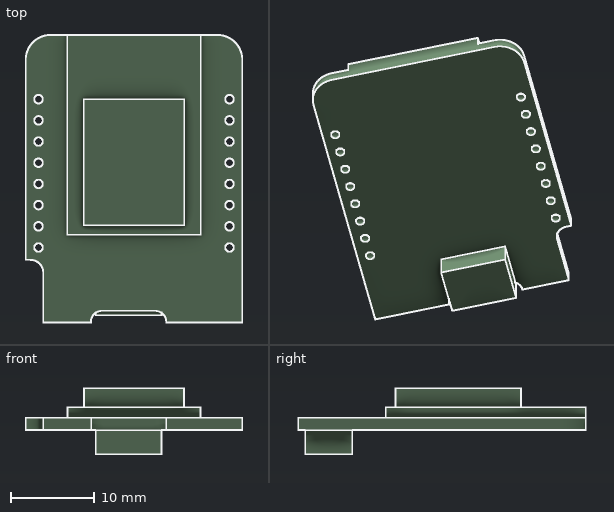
import cadquery as cq

board_width = 26.0
board_length = 34.5
board_thickness = 1.5
rear_corner_radius = 3.0

step_width = 2.1
step_length = 7.5
step_radius = 1.5

connector_center_x = -0.65
cutout_width = 9.0
cutout_depth = 1.4
cutout_radius = 1.3
connector_width = 7.9
connector_length = 5.65
connector_height = 2.9
connector_setback = 0.85

hole_diameter = 1.0
hole_pitch = 2.54
holes_per_row = 8
hole_edge_distance = 1.55
first_hole_from_front = 9.0

module_width = 16.0
module_length = 24.0
module_thickness = 1.25
shield_width = 12.0
shield_length = 15.1
shield_height = 2.3
shield_from_rear = 7.75

left_x = -board_width / 2
front_y = -board_length / 2
rear_y = board_length / 2


def block(center_x, min_y, min_z, width, length, height):
    """Rectangular block centred in X, starting at the given Y and Z."""
    return (
        cq.Workplane("XY")
        .box(width, length, height, centered=(True, False, False))
        .translate((center_x, min_y, min_z))
    )


def front_step():
    """Corner step with a rounded inner corner."""
    cutter = block(left_x + step_width / 2, front_y, 0, step_width, step_length, board_thickness)
    return cutter.edges("|Z and >X and >Y").fillet(step_radius)


def connector_cutout():
    """Front edge cutout with rounded inner corners."""
    cutter = block(connector_center_x, front_y, 0, cutout_width, cutout_depth, board_thickness)
    return cutter.edges("|Z and >Y").fillet(cutout_radius)


def pin_holes():
    """Two straight rows of through holes."""
    hole_x = board_width / 2 - hole_edge_distance
    points = []
    for index in range(holes_per_row):
        hole_y = front_y + first_hole_from_front + index * hole_pitch
        points.append((-hole_x, hole_y))
        points.append((hole_x, hole_y))
    return cq.Workplane("XY").pushPoints(points).circle(hole_diameter / 2).extrude(board_thickness)


def circuit_board():
    board = block(0, front_y, 0, board_width, board_length, board_thickness)
    board = board.edges("|Z and >Y").fillet(rear_corner_radius)
    return board.cut(front_step()).cut(connector_cutout()).cut(pin_holes())


def radio_module():
    module = block(
        0, rear_y - module_length, board_thickness,
        module_width, module_length, module_thickness,
    )
    shield = block(
        0, rear_y - shield_from_rear - shield_length, board_thickness + module_thickness,
        shield_width, shield_length, shield_height,
    )
    return module.union(shield)


def usb_connector():
    return block(
        connector_center_x, front_y + connector_setback, -connector_height,
        connector_width, connector_length, connector_height,
    )


result = circuit_board().union(radio_module()).union(usb_connector())